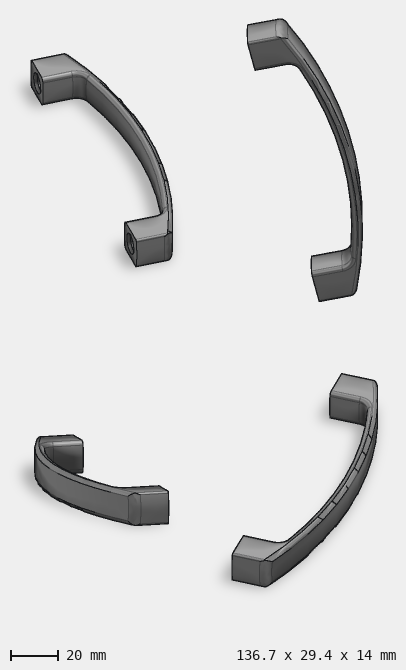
import cadquery as cq
import math

length = 136.7
height = 29.4
width = 14.0
half_length = length / 2
half_width = width / 2

outer_radius = 173.7
bar_thickness = 4.5
inner_radius = outer_radius - bar_thickness
arc_center_y = height - outer_radius

leg_length = 16.1
leg_inner_x = half_length - leg_length
inside_corner_radius = 4.8
end_corner_radius = 4.8
end_bulge = 0.7
end_edge_radius = 1.0

outer_edge_radius = 1.8
inner_edge_height = 1.8
inner_edge_depth = 2.6
inner_bulge = 0.4

hole_x = 60.0
hole_diameter = 6.5
hole_depth = 12.3
countersink_diameter = 9.0
countersink_depth = (countersink_diameter - hole_diameter) / 2

overrun = 1.4
diagonal = math.sqrt(0.5)


def arc_y(radius, x):
    """Height of an arch circle at a given X."""
    return arc_center_y + math.sqrt(radius**2 - x**2)


def rounded_blank():
    """Filled handle with bowed ends, rounded where the ends meet the arch."""
    end_y = arc_y(outer_radius, half_length)
    blank = (
        cq.Workplane("XY", origin=(0, 0, -half_width))
        .moveTo(-half_length, 0)
        .lineTo(-half_length, end_y)
        .threePointArc((0, height), (half_length, end_y))
        .lineTo(half_length, 0)
        .close()
        .extrude(width)
    )
    body = blank.intersect(bowed_prism())
    for direction in (-1, 1):
        bowed_edge = cq.selectors.NearestToPointSelector((direction * half_length, end_y, 0))
        body = body.edges(bowed_edge).fillet(end_corner_radius)
    return body.intersect(bowed_prism().edges("|Y").fillet(end_edge_radius))


def opening_path(start_y):
    """Inside outline: up one leg, along the arch and down the other leg."""
    corner_x = leg_inner_x - inside_corner_radius
    corner_y = arc_y(inner_radius - inside_corner_radius, corner_x) - arc_center_y
    tangent_scale = inner_radius / math.hypot(corner_x, corner_y)
    tangent_x = corner_x * tangent_scale
    tangent_y = arc_center_y + corner_y * tangent_scale
    corner_y += arc_center_y
    half_angle = math.atan2(tangent_y - corner_y, tangent_x - corner_x) / 2
    middle_x = corner_x + inside_corner_radius * math.cos(half_angle)
    middle_y = corner_y + inside_corner_radius * math.sin(half_angle)
    return (
        cq.Workplane("XY")
        .moveTo(-leg_inner_x, start_y)
        .lineTo(-leg_inner_x, corner_y)
        .threePointArc((-middle_x, middle_y), (-tangent_x, tangent_y))
        .threePointArc((0, height - bar_thickness), (tangent_x, tangent_y))
        .threePointArc((middle_x, middle_y), (leg_inner_x, corner_y))
        .lineTo(leg_inner_x, start_y)
    )


def inner_edge_waste():
    """Material beside the crowned inside face, swept around the opening."""
    face_x = -leg_inner_x
    shoulder = (face_x - inner_bulge, half_width - inner_edge_height)
    side = (face_x - inner_edge_depth, half_width)
    middle = (
        side[0] + (inner_edge_depth - inner_bulge) * diagonal,
        shoulder[1] + inner_edge_height * diagonal,
    )
    section = (
        cq.Workplane("XZ", origin=(0, -overrun, 0))
        .moveTo(*side)
        .threePointArc(middle, shoulder)
        .threePointArc((face_x, 0), (shoulder[0], -shoulder[1]))
        .threePointArc((middle[0], -middle[1]), (side[0], -side[1]))
        .lineTo(side[0], -half_width - overrun)
        .lineTo(face_x + overrun, -half_width - overrun)
        .lineTo(face_x + overrun, half_width + overrun)
        .lineTo(side[0], half_width + overrun)
        .close()
    )
    return section.sweep(opening_path(-overrun))


def bowed_prism():
    """Prism along Y whose two ends are bowed outward."""
    corner_x = half_length - end_bulge
    return (
        cq.Workplane("XZ", origin=(0, height + overrun, 0))
        .moveTo(-corner_x, -half_width)
        .lineTo(corner_x, -half_width)
        .threePointArc((half_length, 0), (corner_x, half_width))
        .lineTo(-corner_x, half_width)
        .threePointArc((-half_length, 0), (-corner_x, -half_width))
        .close()
        .extrude(height + 2 * overrun)
    )


def arch_envelope():
    """Disc with rounded rims that rounds both outer edges of the arch."""
    return (
        cq.Workplane("XY", origin=(0, arc_center_y, -half_width))
        .circle(outer_radius)
        .extrude(width)
        .edges()
        .fillet(outer_edge_radius)
    )


def mounting_hole(x):
    """Blind countersunk hole entering from the foot."""
    outline = (
        cq.Workplane("XY", origin=(x, 0, 0))
        .lineTo(countersink_diameter / 2, 0)
        .lineTo(hole_diameter / 2, countersink_depth)
        .lineTo(hole_diameter / 2, hole_depth)
        .lineTo(0, hole_depth)
        .close()
    )
    return outline.revolve(360, (0, 0, 0), (0, 1, 0))


opening = opening_path(-overrun).close().extrude(half_width + overrun, both=True)
result = rounded_blank().intersect(arch_envelope())
result = result.cut(opening).cut(inner_edge_waste())
for side in (-1, 1):
    result = result.cut(mounting_hole(side * hole_x))